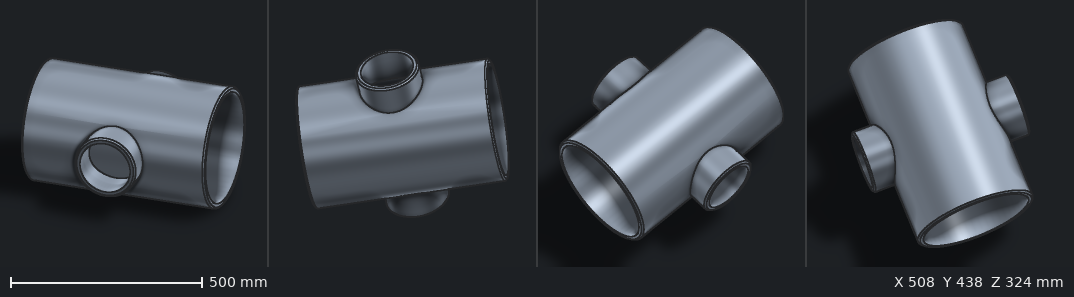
import cadquery as cq

run_length = 508.0
run_outer_diameter = 324.0
run_bore_diameter = 295.5

branch_span = 438.0
branch_outer_diameter = 168.0
branch_bore_diameter = 139.5

bevel_length = 4.5
bevel_depth = 5.0


def beveled_bar(plane, length, diameter):
    """Solid bar centred on the origin, beveled at both ends; the plane's Y is its axis."""
    radius = diameter / 2
    end_radius = radius - bevel_depth
    half_length = length / 2
    shoulder = half_length - bevel_length
    profile = [
        (0, -half_length),
        (end_radius, -half_length),
        (radius, -shoulder),
        (radius, shoulder),
        (end_radius, half_length),
        (0, half_length),
    ]
    return cq.Workplane(plane).polyline(profile).close().revolve(360, (0, 0), (0, 1))


def through_bore(plane, length, diameter):
    """Cylinder centred on the origin along the plane's normal."""
    return cq.Workplane(plane).circle(diameter / 2).extrude(length / 2, both=True)


run_pipe = beveled_bar("YX", run_length, run_outer_diameter)
branches = beveled_bar("XY", branch_span, branch_outer_diameter)
run_bore = through_bore("YZ", run_length, run_bore_diameter)
branch_bore = through_bore("XZ", branch_span, branch_bore_diameter)

result = run_pipe.union(branches).cut(run_bore).cut(branch_bore)